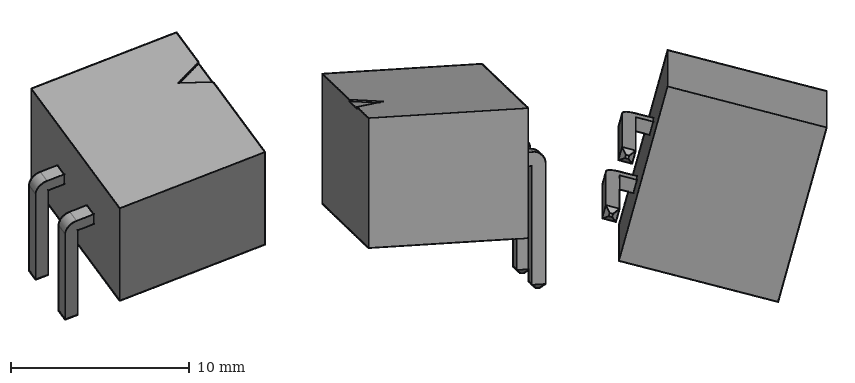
import cadquery as cq

housing_width = 10.5
housing_depth = 9.22
housing_height = 7.5

pin_count = 2
pin_pitch = 3.5
pin_size = 0.8
pin_reach = 1.8
pin_drop = 3.8
pin_embed = housing_depth / 2
bend_radius = 0.72
tip_chamfer = 0.3

mark_width = 1.75
mark_length = 1.75
mark_depth = 0.1

pin_axis_height = housing_height / 2
first_pin_x = -pin_pitch * (pin_count - 1) / 2
pin_positions = [first_pin_x + i * pin_pitch for i in range(pin_count)]


def make_pin_socket(x):
    """Volume removed from the housing for the buried end of one pin."""
    return cq.Workplane("XY", origin=(x, 0, pin_axis_height)).box(
        pin_size, pin_embed, pin_size, centered=(True, False, True)
    )


def make_pin_one_mark():
    """Volume removed from the top face, pointing from the back edge to the front."""
    return (
        cq.Workplane("XY", origin=(first_pin_x, housing_depth, housing_height - mark_depth))
        .moveTo(-mark_width / 2, 0)
        .lineTo(mark_width / 2, 0)
        .lineTo(0, -mark_length)
        .close()
        .extrude(mark_depth)
    )


def make_housing():
    block = cq.Workplane("XY").box(
        housing_width, housing_depth, housing_height, centered=(True, False, False)
    )
    block = block.cut(make_pin_one_mark())
    for x in pin_positions:
        block = block.cut(make_pin_socket(x))
    return block


def make_pin(x):
    """L-shaped pin that leaves the housing front, bends down and ends in a tapered tip."""
    top = pin_axis_height + pin_size / 2
    underside = top - pin_size
    outer_y = -pin_reach
    inner_y = outer_y + pin_size
    pin = (
        cq.Workplane("YZ", origin=(x, 0, 0))
        .moveTo(pin_embed, top)
        .lineTo(outer_y + bend_radius, top)
        .radiusArc((outer_y, top - bend_radius), -bend_radius)
        .lineTo(outer_y, -pin_drop)
        .lineTo(inner_y, -pin_drop)
        .lineTo(inner_y, underside)
        .lineTo(pin_embed, underside)
        .close()
        .extrude(pin_size / 2, both=True)
    )
    return pin.faces("<Z").chamfer(tip_chamfer)


housing = make_housing()
pins = [make_pin(x) for x in pin_positions]

result = cq.Compound.makeCompound([housing.solids().val(), *[pin.solids().val() for pin in pins]])